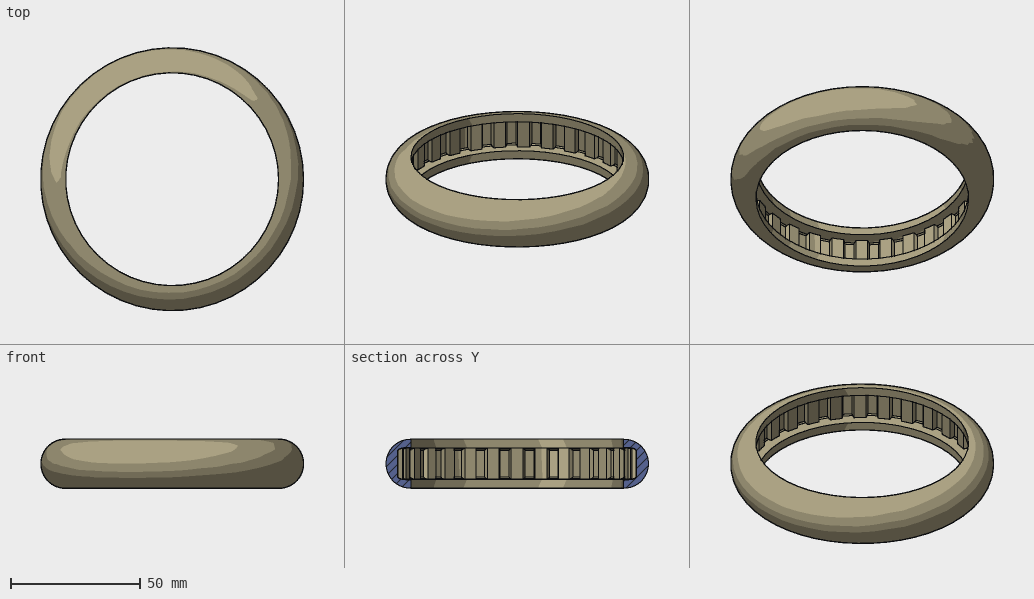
import cadquery as cq
import math

outer_radius = 50.8
height = 19.1
half_height = height / 2
bore_radius = 41.0

lip_thickness = 3.5
cavity_half_height = half_height - lip_thickness
cavity_arc_center_radius = 43.2

tooth_count = 30
tooth_tip_radius = 44.4
tooth_root_radius = 46.0
gap_tip_width = 4.7
gap_root_width = 3.5
gap_edge_chamfer = 0.5

cut_overlap = 1.0
bore_cut_start = bore_radius - cut_overlap


def cavity_half_height_at(radius):
    """Half height of the cavity where its rounded wall reaches a given radius."""
    return math.sqrt(cavity_half_height**2 - (radius - cavity_arc_center_radius) ** 2)


def make_body():
    """Ring with a straight bore and a rounded outside running from bore edge to bore edge."""
    profile = (
        cq.Workplane("XZ")
        .moveTo(bore_radius, -half_height)
        .threePointArc((outer_radius, 0), (bore_radius, half_height))
        .close()
    )
    return profile.revolve(360, (0, 0, 0), (0, 1, 0))


def make_cavity():
    """Ring-shaped cavity with rounded floor and roof, ending at the root wall of the teeth."""
    arc_end_radius = tooth_root_radius - gap_edge_chamfer
    arc_end_z = cavity_half_height_at(arc_end_radius)
    arc_mid_radius = (cavity_arc_center_radius + arc_end_radius) / 2
    arc_mid_z = cavity_half_height_at(arc_mid_radius)
    wall_half_height = arc_end_z - gap_edge_chamfer
    profile = (
        cq.Workplane("XZ")
        .moveTo(bore_cut_start, -cavity_half_height)
        .lineTo(cavity_arc_center_radius, -cavity_half_height)
        .threePointArc((arc_mid_radius, -arc_mid_z), (arc_end_radius, -arc_end_z))
        .lineTo(tooth_root_radius, -wall_half_height)
        .lineTo(tooth_root_radius, wall_half_height)
        .lineTo(arc_end_radius, arc_end_z)
        .threePointArc((arc_mid_radius, arc_mid_z), (cavity_arc_center_radius, cavity_half_height))
        .lineTo(bore_cut_start, cavity_half_height)
        .close()
    )
    return profile.revolve(360, (0, 0, 0), (0, 1, 0))


def make_toothed_core():
    """Upright gear shape filling the space inside the tooth tips and the gaps between the teeth."""
    side_slope = (gap_root_width - gap_tip_width) / 2 / (tooth_root_radius - tooth_tip_radius)

    def half_width_at(radius):
        return gap_tip_width / 2 + side_slope * (radius - tooth_tip_radius)

    start_radius = tooth_tip_radius - cut_overlap
    end_radius = tooth_root_radius + cut_overlap
    gap_outline = [
        (start_radius, -half_width_at(start_radius)),
        (end_radius, -half_width_at(end_radius)),
        (end_radius, half_width_at(end_radius)),
        (start_radius, half_width_at(start_radius)),
    ]
    gap = cq.Workplane("XY").polyline(gap_outline).close().extrude(half_height, both=True)
    core = cq.Workplane("XY").circle(tooth_tip_radius).extrude(half_height, both=True)
    for index in range(tooth_count):
        core = core.union(gap.rotate((0, 0, 0), (0, 0, 1), index * 360 / tooth_count))
    return core


result = make_body().cut(make_cavity().intersect(make_toothed_core()))